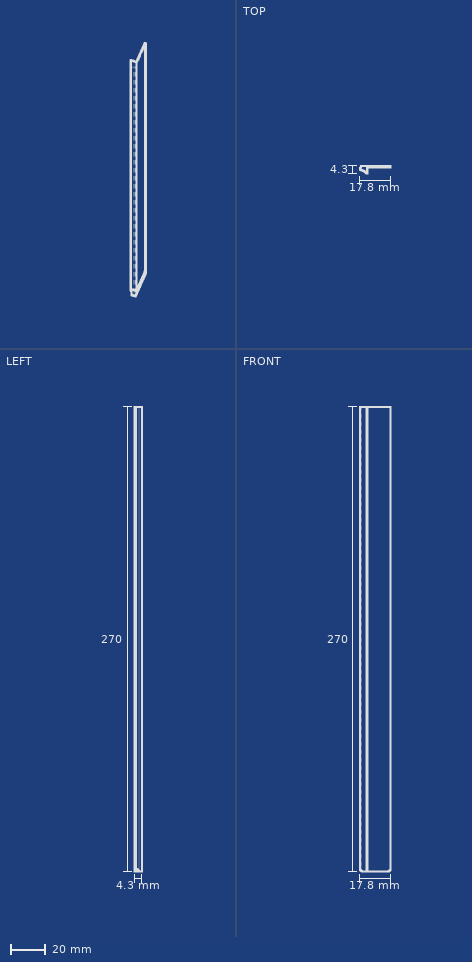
import cadquery as cq

length = 270.0
width = 17.8
depth = 4.3

plate_thickness = 0.8
lip_width = 4.3
side_height = 2.5
side_bulge = 0.5
tip_width = 0.5
hollow_sag = 0.32

corner_radius = 1.5


def lipped_strip():
    """Thin plate with a hollow-faced lip along its bulged left side."""
    tip_start = lip_width - tip_width
    hollow_middle = (
        (side_bulge + tip_start + hollow_sag) / 2,
        -(side_height + depth) / 2 + hollow_sag,
    )
    side_middle = (0, -(plate_thickness + side_height) / 2)
    return (
        cq.Workplane("XY")
        .moveTo(side_bulge, 0)
        .lineTo(width, 0)
        .lineTo(width, -plate_thickness)
        .lineTo(lip_width, -plate_thickness)
        .lineTo(lip_width, -depth)
        .lineTo(tip_start, -depth)
        .threePointArc(hollow_middle, (side_bulge, -side_height))
        .threePointArc(side_middle, (side_bulge, -plate_thickness))
        .close()
        .extrude(length)
    )


def round_lower_corners(strip):
    """Round both bottom corners through the full depth."""
    outline = (
        cq.Workplane("XZ")
        .rect(width, length, centered=False)
        .extrude(depth)
        .edges("|Y and <Z")
        .fillet(corner_radius)
    )
    return strip.intersect(outline)


result = round_lower_corners(lipped_strip())